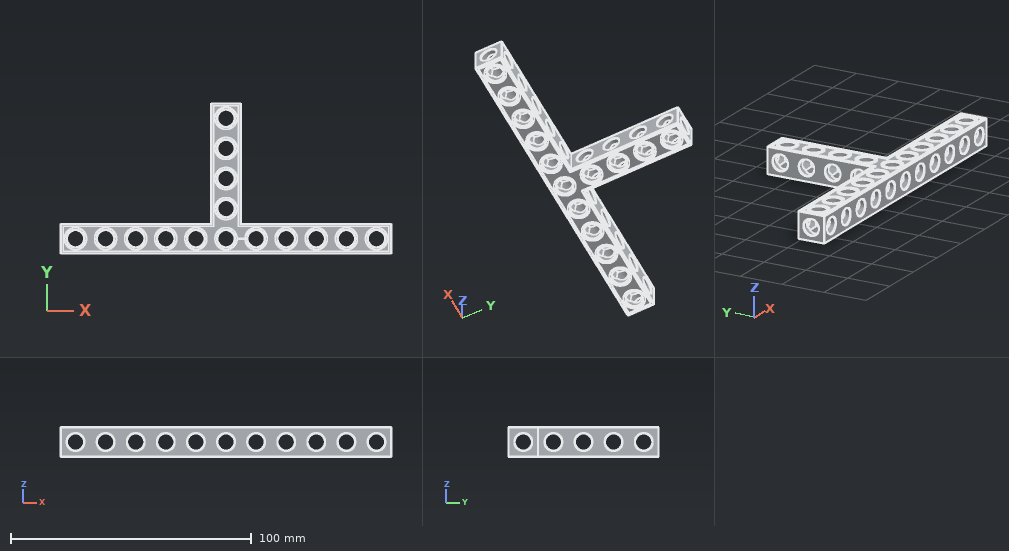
import cadquery as cq

length = 137.5
bar_cells = 11
stem_cells = 4
hole_diameter = 7.0
collar_diameter = 9.2
rim_width = 1.1
panel_depth = 0.25
chamfer = 0.3
groove_width = 0.4
groove_depth = 0.3

pitch = length / bar_cells
half = pitch / 2
stem_end = stem_cells * pitch + half

bar_xs = [(i - (bar_cells - 1) / 2) * pitch for i in range(bar_cells)]
stem_ys = [(i + 1) * pitch for i in range(stem_cells)]
cell_centres = [(x, 0) for x in bar_xs] + [(0, y) for y in stem_ys]


def tee(inset, bottom, height):
    """T-shaped slab whose outline lies inset from the outer faces."""
    end_x = length / 2 - inset
    side = half - inset
    end_y = stem_end - inset
    outline = [
        (-end_x, -side),
        (end_x, -side),
        (end_x, side),
        (side, side),
        (side, end_y),
        (-side, end_y),
        (-side, side),
        (-end_x, side),
    ]
    return cq.Workplane("XY").workplane(offset=bottom).polyline(outline).close().extrude(height)


def collared_panel(bottom):
    """Panel that stays clear of the rim and of the collar round each vertical hole."""
    collars = (
        cq.Workplane("XY")
        .workplane(offset=bottom)
        .pushPoints(cell_centres)
        .circle(collar_diameter / 2)
        .extrude(panel_depth)
    )
    return tee(rim_width, bottom, panel_depth).cut(collars)


def hole_cutter(start, direction, depth):
    """Round rod with a 45 degree flare at each end, for a through hole with chamfered mouths."""
    radius = hole_diameter / 2
    profile = [
        (0, 0),
        (radius + chamfer, 0),
        (radius, chamfer),
        (radius, depth - chamfer),
        (radius + chamfer, depth),
        (0, depth),
    ]
    rod = cq.Workplane("XZ").polyline(profile).close().revolve(360, (0, 0), (0, 1)).val()
    return cq.Workplane(rod.moved(cq.Plane(origin=start, normal=direction).location))


def is_inside_corner(edge):
    """True for the two upright edges where the stem meets the bar."""
    centre = edge.Center()
    return abs(abs(centre.x) - half) < chamfer and abs(centre.y - half) < chamfer and abs(centre.z) < chamfer


body = tee(0, -half, pitch)
outer_edges = [edge for edge in body.edges().vals() if not is_inside_corner(edge)]
body = body.newObject(outer_edges).chamfer(chamfer)

body = body.cut(collared_panel(half - panel_depth))
body = body.cut(collared_panel(-half))

groove_top = half - panel_depth
groove = cq.Workplane("XY").box(pitch - collar_diameter, groove_width, groove_depth)
body = body.cut(groove.translate((half, 0, groove_top - groove_depth / 2)))

for x, y in cell_centres:
    body = body.cut(hole_cutter((x, y, -half), (0, 0, 1), pitch))

for x in bar_xs:
    is_middle = abs(x) < half
    depth = stem_end + half if is_middle else pitch
    body = body.cut(hole_cutter((x, -half, 0), (0, 1, 0), depth))

body = body.cut(hole_cutter((-length / 2, 0, 0), (1, 0, 0), length))
for y in stem_ys:
    body = body.cut(hole_cutter((-half, y, 0), (1, 0, 0), pitch))

result = body